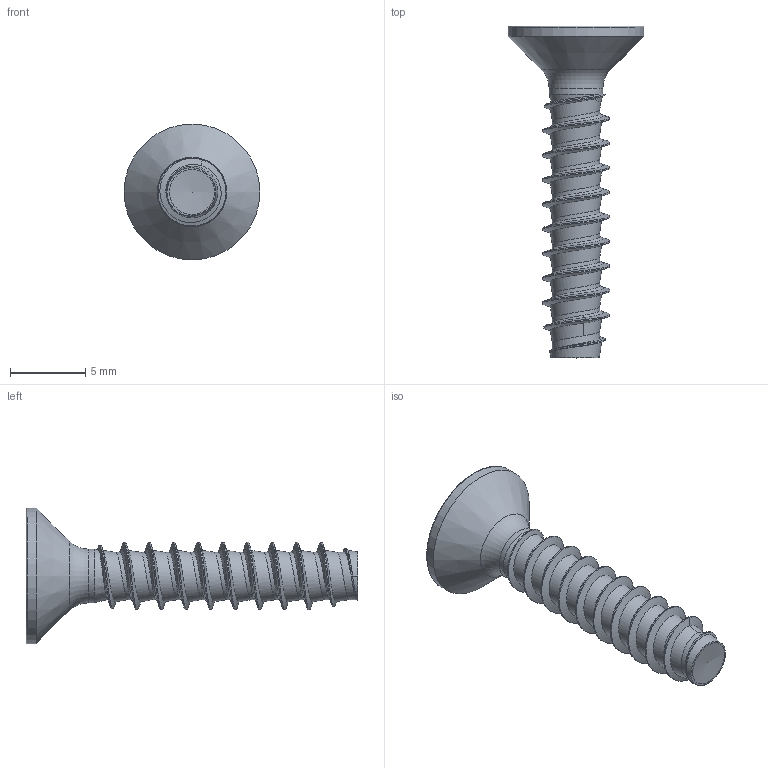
import cadquery as cq
import math


length = 22.0
head_radius = 4.5
rim_height = 0.68
rim_fillet = 0.08
cone_angle = math.radians(45)
neck_fillet = 1.77
shank_radius = 1.78
shank_end = 4.52
shank_taper = 0.9

dish_radius = 1.5
dish_depth = 0.1

pitch = 1.63
core_radius = 1.57
collar_radius = 1.71
crest_radius = 2.25
crest_half_width = 0.04
fin_base_tip_side = 0.2
shoulder_head_side = 0.16
shoulder_height = 0.09
root_head_side = 0.32
foot_gap = 0.2
foot_depth = 0.01
buried_radius = 1.3
min_fin_height = 0.02

first_crossing_depth = 4.49
start_turn = -0.15
full_turn = 1.0
run_out_turn = 9.2
fin_gone_turn = 10.5
end_turn = 10.85
start_crest_radius = 1.93
points_per_turn = 24

head_top = length / 2
tip = head_top - length


def screw_blank():
    """Countersunk head, filleted neck, tapered shank, thread core and dished tip."""
    neck_radius = shank_radius + neck_fillet * (1 - math.cos(cone_angle))
    cone_end = rim_height + (head_radius - neck_radius) / math.tan(cone_angle)
    neck_end = cone_end + neck_fillet * math.sin(cone_angle)
    half_angle = cone_angle / 2
    neck_middle = (
        shank_radius + neck_fillet * (1 - math.cos(half_angle)),
        head_top - neck_end + neck_fillet * math.sin(half_angle),
    )
    rim_corner_drop = rim_fillet * (1 - math.sqrt(0.5))
    dish_sphere_radius = (dish_radius**2 + dish_depth**2) / (2 * dish_depth)
    dish_middle_radius = dish_radius / 2
    dish_middle_depth = dish_depth - dish_sphere_radius + math.sqrt(
        dish_sphere_radius**2 - dish_middle_radius**2
    )
    outline = (
        cq.Workplane("XY")
        .moveTo(0, head_top)
        .lineTo(head_radius - rim_fillet, head_top)
        .threePointArc(
            (head_radius - rim_corner_drop, head_top - rim_corner_drop),
            (head_radius, head_top - rim_fillet),
        )
        .lineTo(head_radius, head_top - rim_height)
        .lineTo(neck_radius, head_top - cone_end)
        .threePointArc(neck_middle, (shank_radius, head_top - neck_end))
        .lineTo(shank_radius, head_top - shank_end)
        .lineTo(core_radius, head_top - shank_end - shank_taper)
        .lineTo(core_radius, tip)
        .lineTo(dish_radius, tip)
        .threePointArc((dish_middle_radius, tip + dish_middle_depth), (0, tip + dish_depth))
        .close()
    )
    return outline.revolve(360, (0, 0, 0), (0, 1, 0))


def thread_section(crest):
    """Corners of the thread section as (offset towards the tip, radius) for one crest radius."""
    collar = min(collar_radius, crest - min_fin_height)
    fin_height_ratio = (crest - collar) / (crest_radius - collar_radius)

    def reach(full_reach):
        """Axial reach of a flank corner, shrinking together with the fin."""
        return crest_half_width + (full_reach - crest_half_width) * fin_height_ratio

    head_foot = -reach(root_head_side)
    tip_foot = pitch - root_head_side - foot_gap
    foot_radius = core_radius - foot_depth
    shoulder_radius = collar + shoulder_height * fin_height_ratio
    return [
        (head_foot, buried_radius),
        (head_foot, foot_radius),
        (-reach(shoulder_head_side), shoulder_radius),
        (-crest_half_width, crest),
        (crest_half_width, crest),
        (reach(fin_base_tip_side), collar),
        (tip_foot, foot_radius),
        (tip_foot, buried_radius),
    ]


def thread_point(turn, offset, radius):
    """Point on the right-handed thread at a turn count, axial offset and radius."""
    angle = 2 * math.pi * turn
    depth = first_crossing_depth + pitch * turn + offset
    return cq.Vector(radius * math.cos(angle), head_top - depth, radius * math.sin(angle))


def helical_edge(start, end, start_corner, end_corner):
    """Helix from one section corner to another, changing evenly from start to end turn."""
    steps = math.ceil((end - start) * points_per_turn)
    path = []
    for step in range(steps + 1):
        part = step / steps
        turn = start + (end - start) * part
        offset = start_corner[0] + (end_corner[0] - start_corner[0]) * part
        radius = start_corner[1] + (end_corner[1] - start_corner[1]) * part
        path.append(thread_point(turn, offset, radius))
    return cq.Edge.makeSpline(path)


def stage_faces(start, end, start_crest, end_crest):
    """Helical faces of one thread stage."""
    corner_pairs = zip(thread_section(start_crest), thread_section(end_crest))
    edges = [helical_edge(start, end, *pair) for pair in corner_pairs]
    next_edges = edges[1:] + edges[:1]
    return [cq.Face.makeRuledSurface(*pair) for pair in zip(edges, next_edges)]


def end_cap(turn, crest):
    """Flat face closing one end of the thread."""
    corners = [thread_point(turn, *corner) for corner in thread_section(crest)]
    return cq.Face.makeFromWires(cq.Wire.makePolygon(corners, close=True))


def thread():
    """Thread that grows at the shank, stays full, then sinks into the core near the tip."""
    fin_gone_crest = collar_radius + min_fin_height
    stages = [
        (start_turn, full_turn, start_crest_radius, crest_radius),
        (full_turn, run_out_turn, crest_radius, crest_radius),
        (run_out_turn, fin_gone_turn, crest_radius, fin_gone_crest),
        (fin_gone_turn, end_turn, fin_gone_crest, core_radius),
    ]
    faces = [end_cap(start_turn, start_crest_radius), end_cap(end_turn, core_radius)]
    for stage in stages:
        faces += stage_faces(*stage)
    return cq.Workplane(obj=cq.Solid.makeSolid(cq.Shell.makeShell(faces)))


def threaded_zone():
    """Sleeve from the shank end to the tip that bounds the thread."""
    zone_inner_radius = (dish_radius + core_radius) / 2
    return (
        cq.Workplane("XZ", origin=(0, head_top - shank_end, 0))
        .circle(head_radius)
        .circle(zone_inner_radius)
        .extrude(length - shank_end)
    )


result = screw_blank().union(thread().intersect(threaded_zone()))